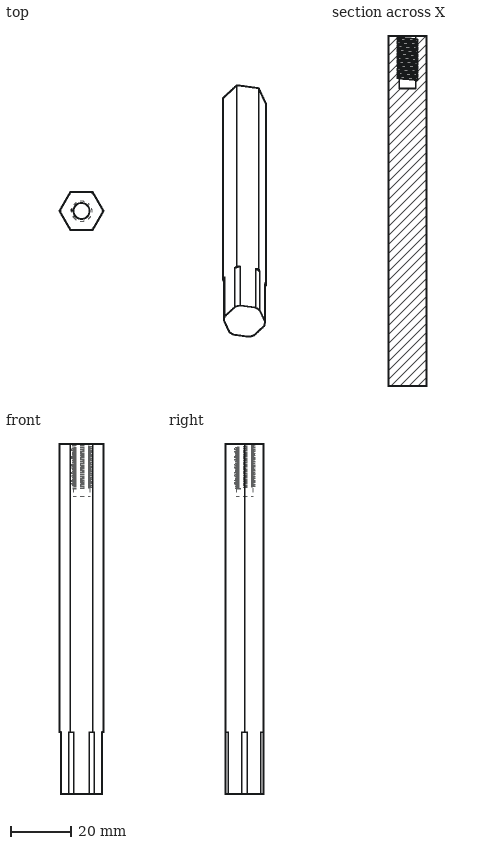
import cadquery as cq

length = 116.7
across_flats = 12.7
across_corners = 14.7

turned_length = 20.7
turned_radius = 6.9

bore_radius = 2.7
hole_depth = 17.5
thread_pitch = 1.3
thread_root_radius = 3.4
thread_length = 14.0
thread_end_depth = 0.6
groove_mouth = 0.9
groove_root = 0.6
bore_overlap = 0.2


def hexagonal_bar():
    half_height = across_flats / 2
    half_width = across_corners / 2
    half_flat = half_width / 2
    outline = [
        (half_width, 0),
        (half_flat, half_height),
        (-half_flat, half_height),
        (-half_width, 0),
        (-half_flat, -half_height),
        (half_flat, -half_height),
    ]
    return cq.Workplane("XY").polyline(outline).close().extrude(length)


def corner_relief():
    """Ring that removes whatever lies outside the turned radius."""
    return (
        cq.Workplane("XY")
        .circle(across_corners)
        .circle(turned_radius)
        .extrude(turned_length)
    )


def bore():
    return cq.Workplane("XY").workplane(offset=length - hole_depth).circle(bore_radius).extrude(hole_depth)


def thread_groove():
    """Helical groove cutter that stops just below the top face, on the -X side."""
    inner_radius = bore_radius - bore_overlap
    path = cq.Wire.makeHelix(thread_pitch, thread_length, bore_radius)
    profile = (
        cq.Workplane("XZ")
        .moveTo(inner_radius, -groove_mouth / 2)
        .lineTo(thread_root_radius, -groove_root / 2)
        .lineTo(thread_root_radius, groove_root / 2)
        .lineTo(inner_radius, groove_mouth / 2)
        .close()
    )
    groove = profile.sweep(cq.Workplane(path), isFrenet=True)
    turns = thread_length / thread_pitch
    end_angle = 360 * (turns % 1)
    base_height = length - thread_end_depth - thread_length
    return groove.rotate((0, 0, 0), (0, 0, 1), 180 - end_angle).translate((0, 0, base_height))


result = hexagonal_bar().cut(corner_relief()).cut(thread_groove()).cut(bore())